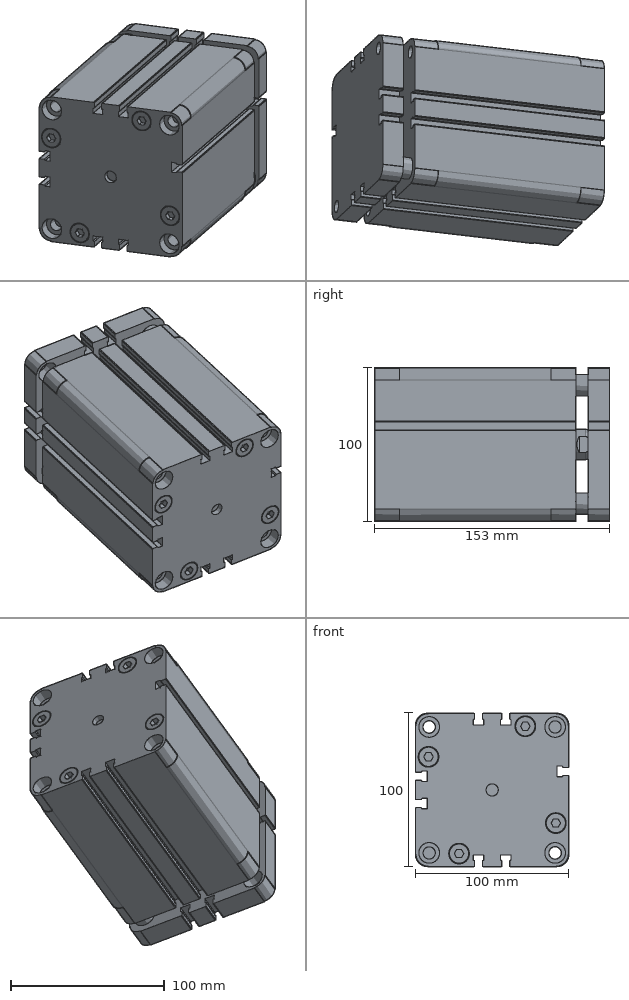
import cadquery as cq
import math

side = 100.0
total_length = 153.0

end_cap_length = 16.2
plate_length = 14.0
gap_length = 8.0
body_length = total_length - plate_length - gap_length - 2 * end_cap_length

y_rear = -total_length / 2
y_body = y_rear + end_cap_length
y_front_cap = y_body + body_length
y_gap = y_front_cap + end_cap_length
y_plate = y_gap + gap_length

corner_radius = 8.1
corner_step = 0.5

slot_offset = 8.9
single_slot_offset = 12.1
slot_depth = 7.6
slot_mouth_width = 5.0
slot_floor_width = 6.7
slot_lip_depth = 3.8
slot_flare_depth = 0.6
slot_bevel_width = 0.6
slot_bevel_depth = 0.3

mount_offset = 41.0
mount_diameter = 8.0
counterbore_diameter = 13.5
counterbore_depth = 8.0
plate_counterbore_depth = 10.7

guide_offset = 38.5
guide_diameter = 14.0
piston_diameter = 20.0
piston_chamfer_length = 1.5
piston_chamfer_width = 0.5
piston_flats_width = 17.0
piston_flats_length = 5.7

screw_long_offset = 41.5
screw_short_offset = 21.5
screw_pocket_diameter = 13.5
screw_head_diameter = 12.5
screw_head_length = 6.1
hex_width = 5.4
hex_depth = 4.0

centre_hole_diameter = 8.0
centre_hole_depth = 4.0

diagonal_with_rods = [(-1, -1), (1, 1)]
diagonal_open = [(-1, 1), (1, -1)]
all_corners = diagonal_with_rods + diagonal_open


def section_at(y):
    """Sketch plane across the axis at y: local x is X, local y is Z, extrusion goes to +Y."""
    return cq.Workplane(cq.Plane(origin=(0, y, 0), xDir=(1, 0, 0), normal=(0, -1, 0)))


def rod(x, z, diameter, y_start, length):
    """Round bar parallel to Y, from y_start towards +Y."""
    return section_at(y_start).center(x, z).circle(diameter / 2).extrude(-length)


def rounded_bar(y, length):
    """Square bar with filleted long edges."""
    bar = section_at(y).rect(side, side).extrude(-length)
    return bar.edges("|Y").fillet(corner_radius)


def stepped_bar(y, length):
    """Square bar whose corner arcs keep the body's centres but have a smaller radius."""
    centre = side / 2 - corner_radius
    flat = 2 * centre
    bar = section_at(y).rect(side, flat).extrude(-length)
    bar = bar.union(section_at(y).rect(flat, side).extrude(-length))
    for sx, sz in all_corners:
        corner = rod(sx * centre, sz * centre, 2 * (corner_radius - corner_step), y, length)
        bar = bar.union(corner)
    return bar


def slot(offset, turn):
    """Undercut slot in the +Z side with bevelled mouth edges, turned about the Y axis by the given angle."""
    mouth = slot_mouth_width / 2
    floor = slot_floor_width / 2
    top = side / 2
    bevel = top - slot_bevel_depth
    lip = top - slot_lip_depth
    flare = lip - slot_flare_depth
    bottom = top - slot_depth
    outline = [
        (-mouth - slot_bevel_width, top),
        (-mouth, bevel),
        (-mouth, lip),
        (-floor, flare),
        (-floor, bottom),
        (floor, bottom),
        (floor, flare),
        (mouth, lip),
        (mouth, bevel),
        (mouth + slot_bevel_width, top),
    ]
    cutter = section_at(y_rear).center(offset, 0).polyline(outline).close().extrude(-total_length)
    return cutter.rotate((0, 0, 0), (0, 1, 0), turn)


def cut_slots(part):
    """Slot pairs in the +Z, -Z and -X sides and a single slot in the +X side."""
    for turn in (0, 180, -90):
        for offset in (-slot_offset, slot_offset):
            part = part.cut(slot(offset, turn))
    return part.cut(slot(-single_slot_offset, 90))


def cut_mounting_holes(part):
    """Holes run through the whole part, except in line with the guide rods, where they pierce the end cap."""
    for sx, sz in all_corners:
        x = sx * mount_offset
        z = sz * mount_offset
        part = part.cut(rod(x, z, counterbore_diameter, y_rear, counterbore_depth))
    for sx, sz in diagonal_with_rods:
        x = sx * mount_offset
        z = sz * mount_offset
        part = part.cut(rod(x, z, mount_diameter, y_rear, end_cap_length))
    for sx, sz in diagonal_open:
        x = sx * mount_offset
        z = sz * mount_offset
        part = part.cut(rod(x, z, mount_diameter, y_rear, total_length))
        part = part.cut(rod(x, z, counterbore_diameter, y_plate, plate_counterbore_depth))
    return part


def piston_rod():
    """Piston rod across the gap, chamfered at the plate, with two wrench flats facing +X and -X."""
    piston = rod(0, 0, piston_diameter, y_gap, gap_length)
    piston = piston.faces(">Y").chamfer(piston_chamfer_length, piston_chamfer_width)
    half_flats = piston_flats_width / 2
    reach = piston_diameter / 2 - half_flats
    y_flats = y_plate - piston_flats_length
    for sx in (-1, 1):
        cutter = (
            cq.Workplane("XY", origin=(0, 0, -piston_diameter / 2))
            .moveTo(sx * half_flats, y_plate)
            .lineTo(sx * half_flats, y_flats)
            .lineTo(sx * (half_flats + reach), y_flats - reach)
            .lineTo(sx * (half_flats + reach), y_plate)
            .close()
            .extrude(piston_diameter)
        )
        piston = piston.cut(cutter)
    return piston


def cut_cap_screws(part):
    """Ring-shaped gap around each flush screw head, and its hexagon socket."""
    hex_diameter = hex_width / math.cos(math.pi / 6)
    positions = [
        (screw_short_offset, screw_long_offset),
        (screw_long_offset, -screw_short_offset),
        (-screw_short_offset, -screw_long_offset),
        (-screw_long_offset, screw_short_offset),
    ]
    for x, z in positions:
        pocket = rod(x, z, screw_pocket_diameter, y_rear, screw_head_length)
        head = rod(x, z, screw_head_diameter, y_rear, screw_head_length)
        socket = section_at(y_rear).center(x, z).polygon(6, hex_diameter).extrude(-hex_depth)
        part = part.cut(pocket.cut(head)).cut(socket)
    return part


cylinder = rounded_bar(y_body, body_length)
cylinder = cylinder.union(stepped_bar(y_rear, end_cap_length))
cylinder = cylinder.union(stepped_bar(y_front_cap, end_cap_length))
cylinder = cylinder.union(stepped_bar(y_plate, plate_length))

cylinder = cut_slots(cylinder)
cylinder = cut_mounting_holes(cylinder)
cylinder = cut_cap_screws(cylinder)
cylinder = cylinder.cut(rod(0, 0, centre_hole_diameter, y_rear, centre_hole_depth))

cylinder = cylinder.union(piston_rod())
for sx, sz in diagonal_with_rods:
    guide = rod(sx * guide_offset, sz * guide_offset, guide_diameter, y_gap, gap_length)
    cylinder = cylinder.union(guide)

result = cylinder